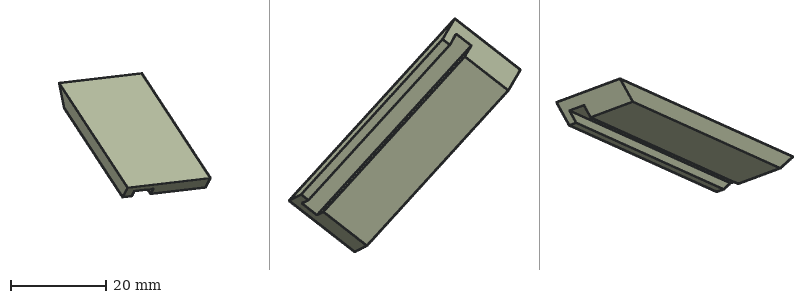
import cadquery as cq

length = 54.0
width = 18.05
height = 4.0

miter_inset = height

lip_width = 2.0
groove_width = 4.1
groove_depth = 2.1

half_length = length / 2
half_width = width / 2

bar = (
    cq.Workplane("XZ")
    .polyline([
        (-half_length, height),
        (half_length, height),
        (half_length - miter_inset, 0),
        (-half_length + miter_inset, 0),
    ])
    .close()
    .extrude(half_width, both=True)
)

groove = cq.Workplane("XY").box(
    length, groove_width, groove_depth, centered=(True, False, False)
).translate((0, -half_width + lip_width, 0))

result = bar.cut(groove)